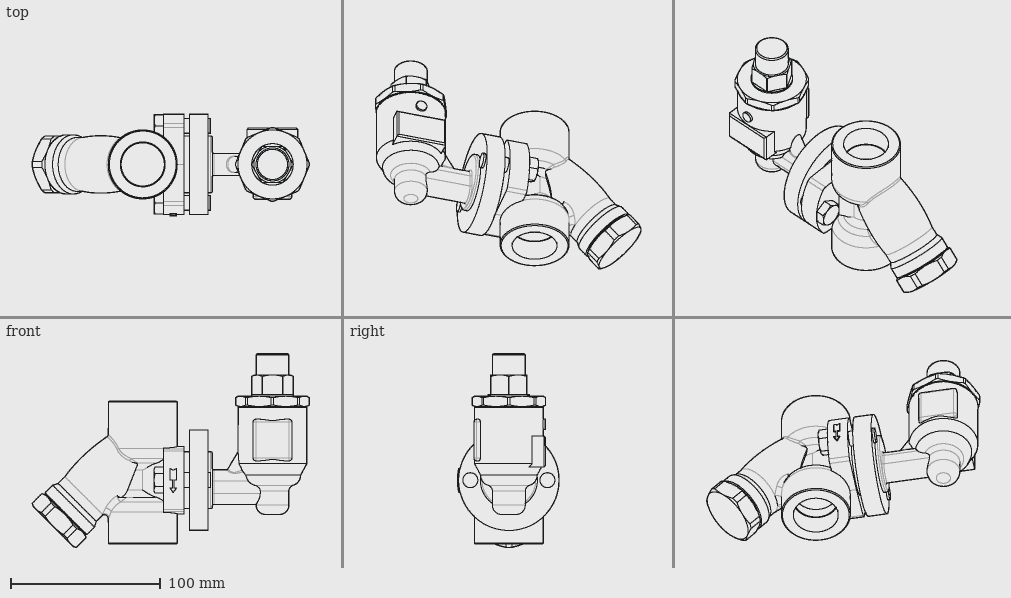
import cadquery as cq
import math


pipe_radius = 23.0
pipe_top = 52.8
pipe_bottom = -42.7
pipe_edge_chamfer = 0.7
socket_diameter = 30.0
socket_depth = 14.6
bore_diameter = 28.8
bore_depth = 27.7
lower_bore_depth = 22.2
neck_radius = 11.6
neck_half_height = 6.7
neck_curve_end = (15.2, 11.5)
shoulder_start = (18.8, 14.5)
shoulder_end_height = 21.0

branch_origin_z = 28.8
branch_root_radius = 13.0
branch_throat_radius = 16.8
branch_mid_radius = 19.0
branch_end_radius = 18.02
branch_throat = 15.7
branch_mid = 33.3
branch_taper_end = 55.5
collar_cone_start = 61.7
collar_start = 65.2
collar_end = 72.5
collar_radius = 19.8
cap_start = 73.2
cap_end = 84.5
cap_across_flats = 38.0
cap_corner_diameter = 41.8
cap_face_diameter = 38.0
branch_trim_top = (4.0, 29.5)
branch_trim_bottom = (-16.3, -22.2)
branch_upper_blend = 1.8
branch_lower_blend = 2.8

flange_diameter = 67.0
body_flange_start = 13.9
body_flange_end = 27.5
body_flange_ridge = 22.5
body_flange_shoulder = (25.9, 20.9)
body_flange_corner = 3.7
gasket_diameter = 38.0
round_flange_start = 31.0
round_flange_end = 43.6
hub_end = 46.4
arrow_x = 20.3
arrow_reach = 34.4
arrow_half_width = 2.0
arrow_shaft_half_width = 0.5
arrow_tail_top = 7.8
arrow_notch_depth = 1.1
arrow_head_top = -5.2
arrow_tip = -8.3
bolt_offset = 25.7
bolt_diameter = 10.0
bolt_head_across_flats = 15.0
bolt_head_start = 7.5
bolt_end = 45.0

arm_width = 14.8
arm_top = 7.0
arm_bottom = -16.3
arm_root_fillet = 1.1
strut_diameter = 10.5
strut_foot = (61.7, 5.7)
strut_angle = 59.0
strut_length = 22.2
strut_foot_fillet = 1.1
strut_sink = 5.5

trap_x = 86.5
trap_radius = 23.0
trap_top = 48.6
cone_top = 11.0
cone_bottom = 3.3
cone_bottom_radius = 18.8
stub_radius = 11.0
stub_top = -7.2
stub_bottom = -23.0
stub_edge_fillet = 6.3
throat_join = (13.5, -3.5)
nut_bottom = 49.2
nut_top = 56.0
nut_groove_radius = 22.2
nut_across_flats = 46.0
nut_corner_diameter = 49.2
nut_face_diameter = 46.0
washer_diameter = 27.7
washer_top = 57.1
hex_across_flats = 24.2
hex_top = 70.0
hex_corner_diameter = 27.7
hex_face_diameter = 24.8
stem_diameter = 22.0
stem_top = 84.5
stem_chamfer = 1.0

front_pad_width = 25.9
front_pad_bottom = 13.0
front_pad_top = 40.7
front_pad_reach = 23.3
front_pad_fillet = 1.8
rear_pad_width = 34.0
rear_pad_bottom = 8.7
rear_pad_top = 29.5
rear_pad_reach = 24.4
rear_pad_chamfer = 1.1
rear_boss_diameter = 7.2
rear_boss_z = 37.3


def disc(plane, start, end, diameter):
    """Round disc between two distances along the normal of a plane."""
    return cq.Workplane(plane).workplane(offset=start).circle(diameter / 2).extrude(end - start)


def beveled_prism(plane, start, end, sides, across_flats, corner_diameter, face_diameter, both_ends=False):
    """Nut-like prism with trimmed corners and a 30 degree bevel on its far face, or on both faces."""
    across_corners = across_flats / math.cos(math.pi / sides)
    prism = cq.Workplane(plane).workplane(offset=start).polygon(sides, across_corners).extrude(end - start)
    corner_radius = corner_diameter / 2
    face_radius = face_diameter / 2
    bevel = (corner_radius - face_radius) * math.tan(math.radians(30))
    near_radius = face_radius if both_ends else corner_radius
    envelope = (
        cq.Workplane(cq.Plane(plane.origin, plane.xDir, plane.xDir.cross(plane.zDir)))
        .polyline([
            (0, start),
            (near_radius, start),
            (corner_radius, start + bevel),
            (corner_radius, end - bevel),
            (face_radius, end),
            (0, end),
        ])
        .close()
        .revolve(360, (0, 0, 0), (0, 1, 0))
    )
    return prism.intersect(envelope)


def tangent_arc_mid(start, end, direction):
    """Middle point of the arc from start to end that leaves start along a direction."""
    chord = (end[0] - start[0], end[1] - start[1])
    chord_length = math.hypot(*chord)
    chord_angle = math.atan2(chord[1], chord[0])
    turn = chord_angle - math.atan2(direction[1], direction[0])
    sagitta = chord_length / 2 * math.tan(turn / 2)
    return (
        (start[0] + end[0]) / 2 + sagitta * math.sin(chord_angle),
        (start[1] + end[1]) / 2 - sagitta * math.cos(chord_angle),
    )


def pipe():
    """Upper and lower socket ends joined by a waisted neck."""
    neck_top = (neck_radius, neck_half_height)
    shoulder_end = (pipe_radius, shoulder_end_height)
    hollow_mid = tangent_arc_mid(neck_top, neck_curve_end, (0, 1))
    shoulder_mid = tangent_arc_mid(shoulder_end, shoulder_start, (0, -1))

    def end_piece(length):
        return (
            cq.Workplane("XZ")
            .moveTo(0, 0)
            .lineTo(neck_radius, 0)
            .lineTo(*neck_top)
            .threePointArc(hollow_mid, neck_curve_end)
            .lineTo(*shoulder_start)
            .threePointArc(shoulder_mid, shoulder_end)
            .lineTo(pipe_radius, length - pipe_edge_chamfer)
            .lineTo(pipe_radius - pipe_edge_chamfer, length)
            .lineTo(0, length)
            .close()
            .revolve(360, (0, 0, 0), (0, 1, 0))
        )

    upper = end_piece(pipe_top)
    lower = end_piece(-pipe_bottom).mirror("XY")
    bridge = cq.Workplane("XY").box(
        body_flange_start, 2 * neck_radius, 2 * shoulder_end_height, centered=(False, True, True)
    )
    return upper.union(lower).union(bridge)


def sockets():
    """Blind stepped bore in both ends of the pipe."""
    plane = cq.Plane.XY()
    upper_socket = disc(plane, pipe_top - socket_depth, pipe_top, socket_diameter)
    upper_bore = disc(plane, pipe_top - bore_depth, pipe_top, bore_diameter)
    lower_socket = disc(plane, pipe_bottom, pipe_bottom + socket_depth, socket_diameter)
    lower_bore = disc(plane, pipe_bottom, pipe_bottom + lower_bore_depth, bore_diameter)
    return upper_socket.union(upper_bore).union(lower_socket).union(lower_bore)


branch_plane = cq.Plane(origin=(0, 0, branch_origin_z), xDir=(-1, 0, 1), normal=(-1, 0, -1))


def branch_tube():
    """Barrel-shaped branch with its end collar, stopped by a wall beside the neck."""
    profile_plane = cq.Plane(origin=(0, 0, branch_origin_z), xDir=(-1, 0, 1), normal=(0, -1, 0))
    tube = (
        cq.Workplane(profile_plane)
        .lineTo(branch_root_radius, 0)
        .spline(
            [
                (branch_throat_radius, branch_throat),
                (branch_mid_radius, branch_mid),
                (branch_end_radius, branch_taper_end),
            ],
            includeCurrent=True,
        )
        .lineTo(branch_end_radius, collar_cone_start)
        .lineTo(collar_radius, collar_start)
        .lineTo(collar_radius, collar_end)
        .lineTo(branch_end_radius, collar_end)
        .lineTo(branch_end_radius, cap_start)
        .lineTo(0, cap_start)
        .close()
        .revolve(360, (0, 0, 0), (0, 1, 0))
    )
    trim = (
        cq.Workplane("XZ")
        .polyline([
            branch_trim_top,
            branch_trim_bottom,
            (pipe_radius, branch_trim_bottom[1]),
            (pipe_radius, branch_trim_top[1]),
        ])
        .close()
        .extrude(pipe_radius, both=True)
    )
    return tube.cut(trim)


def branch_cap():
    """Hexagonal cap that closes the branch."""
    return beveled_prism(
        branch_plane, cap_start, cap_end, 6, cap_across_flats, cap_corner_diameter, cap_face_diameter, True
    )


def flanges():
    """Flattened body flange, gasket and round flange."""
    side_plane = cq.Plane.YZ()
    shoulder_y, shoulder_z = body_flange_shoulder
    outer_y = flange_diameter / 2
    outer_z = body_flange_ridge - (body_flange_ridge - shoulder_z) * outer_y / shoulder_y
    roofed_block = (
        cq.Workplane("YZ")
        .polyline([
            (0, body_flange_ridge),
            (outer_y, outer_z),
            (outer_y, -outer_z),
            (0, -body_flange_ridge),
            (-outer_y, -outer_z),
            (-outer_y, outer_z),
        ])
        .close()
        .extrude(body_flange_end)
    )
    body_flange = (
        disc(side_plane, body_flange_start, body_flange_end, flange_diameter)
        .intersect(roofed_block)
    )
    corner_edges = [edge for edge in body_flange.edges("|X").vals() if abs(edge.Center().y) > bolt_offset / 2]
    body_flange = body_flange.newObject(corner_edges).fillet(body_flange_corner)
    gasket = disc(side_plane, body_flange_end, round_flange_start, gasket_diameter)
    round_flange = disc(side_plane, round_flange_start, round_flange_end, flange_diameter)
    return body_flange.union(gasket).union(round_flange)


def flow_arrow():
    """Raised arrow on the -Y rim of the body flange, pointing down."""
    right_side = [
        (0, arrow_tail_top - arrow_notch_depth),
        (arrow_half_width, arrow_tail_top),
        (arrow_half_width, 0),
        (arrow_shaft_half_width, 0),
        (arrow_shaft_half_width, arrow_head_top),
        (arrow_half_width, arrow_head_top),
        (0, arrow_tip),
    ]
    left_side = [(-x, z) for x, z in reversed(right_side[1:-1])]
    arrow = (
        cq.Workplane("XZ", origin=(arrow_x, 0, 0))
        .workplane(offset=bolt_offset)
        .polyline(right_side + left_side)
        .close()
        .extrude(arrow_reach)
    )
    return arrow.intersect(disc(cq.Plane.YZ(), body_flange_start, body_flange_end, 2 * arrow_reach))


def bolt(y):
    """Hexagon bolt through both flanges, with its head on the pipe side."""
    head_plane = cq.Plane(origin=(body_flange_start, y, 0), xDir=(0, 0, 1), normal=(-1, 0, 0))
    across_corners = bolt_head_across_flats / math.cos(math.pi / 6)
    head = beveled_prism(
        head_plane, 0, body_flange_start - bolt_head_start, 6,
        bolt_head_across_flats, across_corners, bolt_head_across_flats,
    )
    shank_plane = cq.Plane(origin=(0, y, 0), xDir=(0, 1, 0), normal=(1, 0, 0))
    return head.union(disc(shank_plane, body_flange_start, bolt_end, bolt_diameter))


def arm():
    """Hub and flat-sided arm with round top and bottom, and the strut above it."""
    arm_height = arm_top - arm_bottom
    root_box = cq.selectors.BoxSelector(
        (hub_end - arm_root_fillet, -arm_width, 1.1 * arm_bottom),
        (hub_end + arm_root_fillet, arm_width, 1.1 * arm_top),
    )
    hub = disc(cq.Plane.YZ(), round_flange_end, hub_end, gasket_diameter)
    bar = (
        cq.Workplane("YZ")
        .workplane(offset=hub_end)
        .center(0, (arm_top + arm_bottom) / 2)
        .slot2D(arm_height, arm_width, 90)
        .extrude(trap_x - hub_end)
        .union(hub)
        .edges(root_box)
        .fillet(arm_root_fillet)
    )
    angle = math.radians(strut_angle)
    strut_plane = cq.Plane(
        origin=(strut_foot[0], 0, strut_foot[1]),
        xDir=(0, 1, 0),
        normal=(math.cos(angle), 0, math.sin(angle)),
    )
    strut = disc(strut_plane, -strut_sink, strut_length, strut_diameter)
    foot_box = cq.selectors.BoxSelector(
        (hub_end + arm_root_fillet, -arm_width, 0), (trap_x - strut_diameter, arm_width, 1.1 * arm_top)
    )
    return bar.union(strut).edges(foot_box).fillet(strut_foot_fillet)


def trap_body():
    """Turned trap body: cylinder, cone, rounded cup, throat and bottom stub."""
    cup_start = (cone_bottom_radius, cone_bottom)
    stub_start = (stub_radius, stub_top)
    cup_mid = tangent_arc_mid(cup_start, throat_join, (0, -1))
    throat_mid = tangent_arc_mid(stub_start, throat_join, (0, 1))
    stub_round_mid = tangent_arc_mid(
        (stub_radius, stub_bottom + stub_edge_fillet),
        (stub_radius - stub_edge_fillet, stub_bottom),
        (0, -1),
    )
    return (
        cq.Workplane("XZ", origin=(trap_x, 0, 0))
        .moveTo(0, nut_bottom)
        .lineTo(nut_groove_radius, nut_bottom)
        .lineTo(nut_groove_radius, trap_top)
        .lineTo(trap_radius, trap_top)
        .lineTo(trap_radius, cone_top)
        .lineTo(*cup_start)
        .threePointArc(cup_mid, throat_join)
        .threePointArc(throat_mid, stub_start)
        .lineTo(stub_radius, stub_bottom + stub_edge_fillet)
        .threePointArc(stub_round_mid, (stub_radius - stub_edge_fillet, stub_bottom))
        .lineTo(0, stub_bottom)
        .close()
        .revolve(360, (0, 0, 0), (0, 1, 0))
    )


def trap_top_fittings():
    """Octagonal cover nut, washer face, hexagon and plain stem."""
    axis_plane = cq.Plane(origin=(trap_x, 0, 0), xDir=(1, 0, 0), normal=(0, 0, 1))
    cover = beveled_prism(
        axis_plane, nut_bottom, nut_top, 8, nut_across_flats, nut_corner_diameter, nut_face_diameter, True
    )
    washer = disc(axis_plane, nut_top, washer_top, washer_diameter)
    hexagon = beveled_prism(
        axis_plane, washer_top, hex_top, 6, hex_across_flats, hex_corner_diameter, hex_face_diameter
    )
    stem = disc(axis_plane, hex_top, stem_top, stem_diameter).faces(">Z").chamfer(stem_chamfer)
    return cover.union(washer).union(hexagon).union(stem)


def pads():
    """Rounded pad on the -Y side, and a name plate pad and round boss on the +Y side."""
    front = (
        cq.Workplane("XY", origin=(trap_x, 0, front_pad_bottom))
        .box(front_pad_width, front_pad_reach, front_pad_top - front_pad_bottom, centered=(True, False, False))
        .translate((0, -front_pad_reach, 0))
        .edges("|Y or <Y")
        .fillet(front_pad_fillet)
    )
    rear = (
        cq.Workplane("XY", origin=(trap_x, 0, rear_pad_bottom))
        .box(rear_pad_width, rear_pad_reach, rear_pad_top - rear_pad_bottom, centered=(True, False, False))
        .faces(">Y")
        .edges()
        .chamfer(rear_pad_chamfer)
    )
    boss_plane = cq.Plane(origin=(trap_x, 0, rear_boss_z), xDir=(1, 0, 0), normal=(0, 1, 0))
    boss = disc(boss_plane, 0, rear_pad_reach, rear_boss_diameter)
    return front.union(rear).union(boss)


def pipe_with_branch():
    """Pipe and branch, with the seams above and below the branch rounded."""
    upper_seam = cq.selectors.BoxSelector(
        (-pipe_radius, -pipe_radius, neck_curve_end[1]), (-3.7, pipe_radius, pipe_top - socket_depth)
    )
    lower_seam = cq.selectors.BoxSelector(
        (-pipe_radius, -neck_radius, -pipe_radius), (-neck_curve_end[0], neck_radius, -neck_curve_end[1])
    )
    joined = pipe().union(branch_tube())
    joined = joined.edges(lower_seam).fillet(branch_lower_blend)
    return joined.edges(upper_seam).fillet(branch_upper_blend)


result = pipe_with_branch().union(branch_cap()).union(flanges()).union(flow_arrow()).cut(sockets())
for bolt_y in (-bolt_offset, bolt_offset):
    result = result.union(bolt(bolt_y))
result = result.union(arm()).union(trap_body()).union(trap_top_fittings()).union(pads())